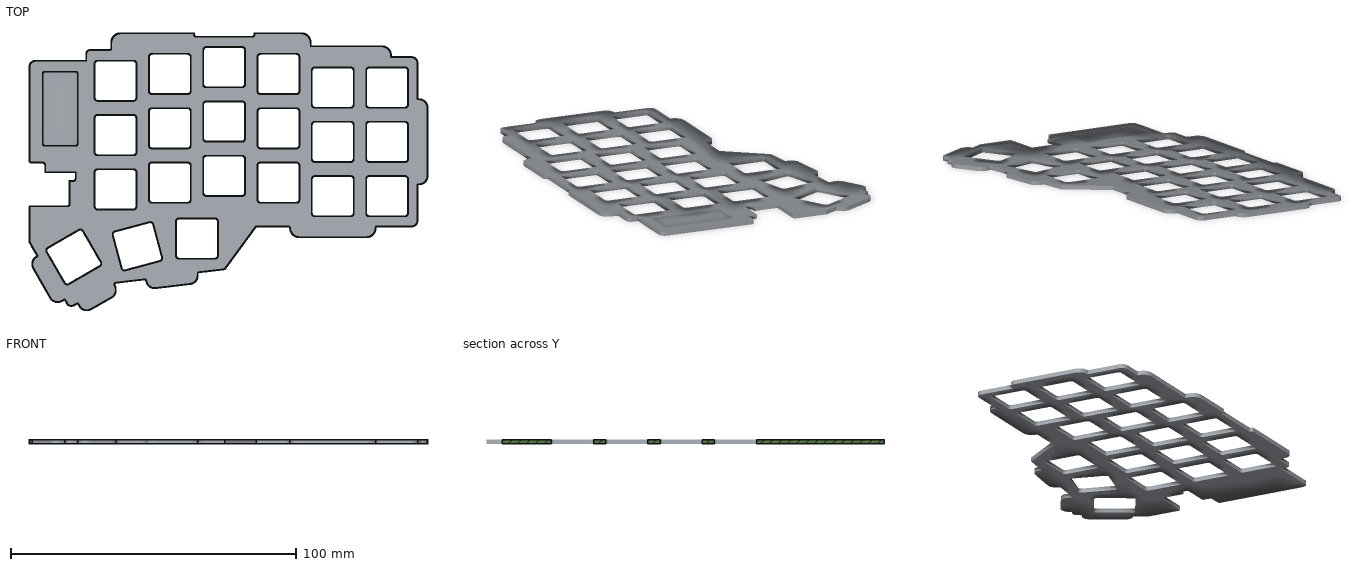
import cadquery as cq
import math

PLATE_LENGTH = 139.7
PLATE_WIDTH = 97.23
PLATE_THICKNESS = 1.5

KEY_PITCH = 19.05
STAGGER_STEP = KEY_PITCH / 8
COLUMN_STAGGERS = (0, 1, 2, 1, -1, -1)
ROWS = (-1, 0, 1)
HOME_KEY_X = 30.22
HOME_KEY_Y = 61.5

OPENING_LENGTH = 14.6
OPENING_WIDTH = 14.02
OPENING_RADIUS = 1.0

STRAIGHT_THUMB_COLUMN = 1.5
THUMB_KEYS = (
    (HOME_KEY_X + STRAIGHT_THUMB_COLUMN * KEY_PITCH, 25.21, 0, OPENING_WIDTH),
    (37.9, 22.51, 15, OPENING_WIDTH),
    (15.58, 18.74, 30, OPENING_LENGTH),
)

RECESS_LEFT = 4.72
RECESS_BOTTOM = 57.7
RECESS_LENGTH = 12.2
RECESS_WIDTH = 26.1
RECESS_RADIUS = 0.8
RECESS_DEPTH = 0.2

SHARP = 0
TINY_RADIUS = 0.5
SMALL_RADIUS = 0.8
STEP_RADIUS = 1.5
BODY_RADIUS = 2.2
THUMB_STEP_RADIUS = 1.8
TAB_RADIUS = 3.3
SIDE_TAB_RADIUS = 3.0
THUMB_TAB_RADIUS = 3.0

TOP_EDGE = PLATE_WIDTH
TOP_NOTCH_FLOOR = 96.0
UPPER_STEP = 91.4
LEFT_SHOULDER = 87.6
RIGHT_SHOULDER = 88.9
OUTER_TAB_BASE = 92.7
LOWER_EDGE = 29.4
LOWER_TAB_EDGE = 25.65
RIGHT_BODY_EDGE = 136.2
SIDE_TAB_BOTTOM = 44.2
SIDE_TAB_TOP = 74.1
CUTOUT_TOP = 48.4
CUTOUT_BOTTOM = 36.6
CUTOUT_LEFT = 5.5
CUTOUT_RIGHT = 14.0
CUTOUT_EAR_RIGHT = 16.2
CUTOUT_EAR_BOTTOM = 45.45
LEFT_LEDGE = 51.8

OUTLINE = (
    (0, LEFT_SHOULDER, BODY_RADIUS),
    (19.9, LEFT_SHOULDER, SHARP),
    (19.9, UPPER_STEP, STEP_RADIUS),
    (28.7, UPPER_STEP, TINY_RADIUS),
    (28.7, TOP_EDGE, TAB_RADIUS),
    (57.8, TOP_EDGE, SHARP),
    (57.8, TOP_NOTCH_FLOOR, SMALL_RADIUS),
    (78.9, TOP_NOTCH_FLOOR, SMALL_RADIUS),
    (78.9, TOP_EDGE, SHARP),
    (98.7, TOP_EDGE, TAB_RADIUS),
    (98.7, OUTER_TAB_BASE, SHARP),
    (126.9, OUTER_TAB_BASE, TAB_RADIUS),
    (126.9, RIGHT_SHOULDER, SHARP),
    (RIGHT_BODY_EDGE, RIGHT_SHOULDER, BODY_RADIUS),
    (RIGHT_BODY_EDGE, SIDE_TAB_TOP, SHARP),
    (PLATE_LENGTH, SIDE_TAB_TOP, SIDE_TAB_RADIUS),
    (PLATE_LENGTH, SIDE_TAB_BOTTOM, SIDE_TAB_RADIUS),
    (RIGHT_BODY_EDGE, SIDE_TAB_BOTTOM, SHARP),
    (RIGHT_BODY_EDGE, LOWER_EDGE, BODY_RADIUS),
    (121.5, LOWER_EDGE, SHARP),
    (121.5, LOWER_TAB_EDGE, TAB_RADIUS),
    (91.4, LOWER_TAB_EDGE, TAB_RADIUS),
    (91.4, LOWER_EDGE, TINY_RADIUS),
    (79.5, LOWER_EDGE, SHARP),
    (68.5, 14.4, SHARP),
    (59.1, 13.3, SHARP),
    (59.0, 9.55, THUMB_TAB_RADIUS),
    (41.4, 7.45, THUMB_TAB_RADIUS),
    (40.9, 10.9, TINY_RADIUS),
    (29.6, 9.6, TINY_RADIUS),
    (31.2, 5.85, THUMB_TAB_RADIUS),
    (19.1, -1.05, THUMB_TAB_RADIUS),
    (16.95, 2.5, SHARP),
    (14.05, 0.9, THUMB_STEP_RADIUS),
    (12.4, 3.85, SHARP),
    (8.8, 1.8, THUMB_TAB_RADIUS),
    (-0.12, 17.35, THUMB_TAB_RADIUS),
    (2.85, 19.05, SHARP),
    (0, 24.0, SHARP),
    (0, CUTOUT_BOTTOM, TINY_RADIUS),
    (CUTOUT_RIGHT, CUTOUT_BOTTOM, TINY_RADIUS),
    (CUTOUT_RIGHT, CUTOUT_EAR_BOTTOM, SHARP),
    (CUTOUT_EAR_RIGHT, CUTOUT_EAR_BOTTOM, SMALL_RADIUS),
    (CUTOUT_EAR_RIGHT, CUTOUT_TOP, SHARP),
    (CUTOUT_LEFT, CUTOUT_TOP, SHARP),
    (CUTOUT_LEFT, LEFT_LEDGE, SMALL_RADIUS),
    (0, LEFT_LEDGE, SMALL_RADIUS),
)


def corner_arc(before, corner, after, radius):
    """Return start, middle and end of the arc that rounds a corner."""
    apex = cq.Vector(*corner)
    to_before = (cq.Vector(*before) - apex).normalized()
    to_after = (cq.Vector(*after) - apex).normalized()
    half_angle = to_before.getAngle(to_after) / 2
    tangent_length = radius / math.tan(half_angle)
    middle_distance = radius / math.sin(half_angle) - radius
    bisector = (to_before + to_after).normalized()
    return (
        apex + to_before * tangent_length,
        apex + bisector * middle_distance,
        apex + to_after * tangent_length,
    )


def rounded_outline(corners):
    """Return a closed outline through the corners, each rounded by its own radius."""
    points = [(x, y) for x, y, _ in corners]
    closing_edge_middle = (cq.Vector(*points[-1]) + cq.Vector(*points[0])) / 2
    path = cq.Workplane("XY").moveTo(closing_edge_middle.x, closing_edge_middle.y)
    for index, (x, y, radius) in enumerate(corners):
        if radius == SHARP:
            path = path.lineTo(x, y)
            continue
        before = points[index - 1]
        after = points[(index + 1) % len(points)]
        start, middle, end = corner_arc(before, (x, y), after, radius)
        path = path.lineTo(start.x, start.y)
        path = path.threePointArc((middle.x, middle.y), (end.x, end.y))
    return path.close()


def rounded_block(length, width, height, radius):
    """Block centred in X and Y, standing on Z = 0, with rounded upright edges."""
    block = cq.Workplane("XY").box(length, width, height, centered=(True, True, False))
    return block.edges("|Z").fillet(radius)


def switch_opening(x, y, rotation, width):
    """Cutting body for one switch opening."""
    block = rounded_block(OPENING_LENGTH, width, PLATE_THICKNESS, OPENING_RADIUS)
    return block.rotate((0, 0, 0), (0, 0, 1), rotation).translate((x, y, 0))


def switch_openings():
    """Centre, rotation and width of every switch opening."""
    grid = []
    for column, stagger in enumerate(COLUMN_STAGGERS):
        for row in ROWS:
            x = HOME_KEY_X + column * KEY_PITCH
            y = HOME_KEY_Y + row * KEY_PITCH + stagger * STAGGER_STEP
            grid.append((x, y, 0, OPENING_WIDTH))
    return grid + list(THUMB_KEYS)


def top_recess():
    """Cutting body for the shallow recess."""
    block = rounded_block(RECESS_LENGTH, RECESS_WIDTH, RECESS_DEPTH, RECESS_RADIUS)
    return block.translate((
        RECESS_LEFT + RECESS_LENGTH / 2,
        RECESS_BOTTOM + RECESS_WIDTH / 2,
        PLATE_THICKNESS - RECESS_DEPTH,
    ))


plate = rounded_outline(OUTLINE).extrude(PLATE_THICKNESS)
for opening in switch_openings():
    plate = plate.cut(switch_opening(*opening))
result = plate.cut(top_recess())